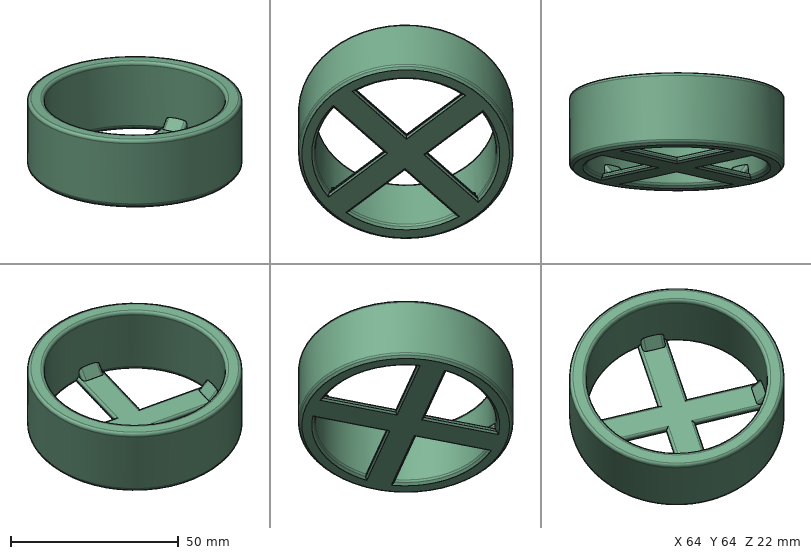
import cadquery as cq

outer_diameter = 64.0
inner_diameter = 54.0
height = 22.0
edge_radius = 1.0
bottom_chamfer = 1.0

bar_width = 8.8
bar_height = 2.0
bar_edge_radius = 0.8
bar_bottom_chamfer = 0.6

tab_width = bar_width - 2 * bar_edge_radius
tab_run = 3.1
tab_edge_radius = 0.95

outer_radius = outer_diameter / 2
inner_radius = inner_diameter / 2
wall_middle_radius = (outer_radius + inner_radius) / 2


def make_ring():
    """Ring with rounded top edges and chamfered, softened lower edges."""
    ring = cq.Workplane("XY").circle(outer_radius).circle(inner_radius).extrude(height)
    ring = ring.faces(">Z").edges().fillet(edge_radius)
    ring = ring.faces("<Z").edges().chamfer(bottom_chamfer)
    chamfer_top = cq.selectors.BoxSelector(
        (-outer_diameter, -outer_diameter, bottom_chamfer / 2),
        (outer_diameter, outer_diameter, bottom_chamfer * 2),
        boundingbox=True,
    )
    return ring.edges("%CIRCLE").edges(chamfer_top).fillet(edge_radius)


def make_cross():
    """Two crossing bars with rounded upper and chamfered lower long edges."""
    length = 2 * wall_middle_radius
    along_x = cq.Workplane("XY").box(length, bar_width, bar_height, centered=(True, True, False))
    along_x = along_x.edges("|X and >Z").fillet(bar_edge_radius)
    along_x = along_x.edges("|X and <Z").chamfer(bar_bottom_chamfer)
    along_y = along_x.rotate((0, 0, 0), (0, 0, 1), 90)
    return along_x.union(along_y)


def make_tab():
    """45 degree wedge against the wall on the +X side, with rounded slope sides."""
    tip_radius = inner_radius - tab_run
    foot_radius = tip_radius - bar_height
    rise = wall_middle_radius - foot_radius
    wedge = (
        cq.Workplane("XZ")
        .moveTo(foot_radius, 0)
        .lineTo(wall_middle_radius, 0)
        .lineTo(wall_middle_radius, rise)
        .close()
        .extrude(tab_width / 2, both=True)
    )
    slope_sides = wedge.edges("not(|X or |Y or |Z)")
    return slope_sides.fillet(tab_edge_radius)


def make_tabs():
    """Four wedges, one at each bar end."""
    tab = make_tab()
    tabs = tab
    for quarter_turn in range(1, 4):
        tabs = tabs.union(tab.rotate((0, 0, 0), (0, 0, 1), 90 * quarter_turn))
    return tabs


result = make_ring().union(make_cross()).union(make_tabs())